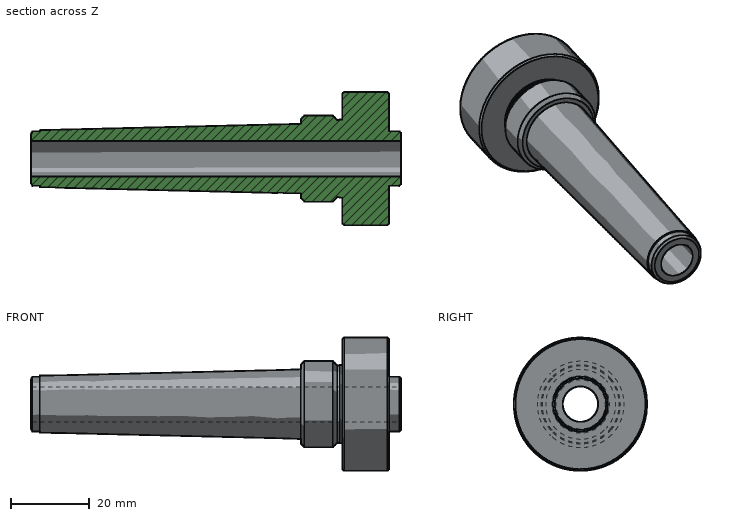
import cadquery as cq

total_length = 94.2
pilot_end = 2.3
collar_start = 68.65
collar_end = 78.0
neck_start = 78.5
flange_start = 79.2
flange_end = 91.2

pilot_diameter = 14.0
taper_small_diameter = 14.6
taper_large_diameter = 17.8
collar_diameter = 22.0
groove_diameter = 19.6
neck_diameter = 20.0
flange_diameter = 34.0
bore_diameter = 8.9

pilot_chamfer_length = 0.4
pilot_chamfer_depth = 0.8
collar_chamfer = 0.9
flange_chamfer = 0.5
stub_chamfer = 0.5

pilot_radius = pilot_diameter / 2
taper_small_radius = taper_small_diameter / 2
taper_large_radius = taper_large_diameter / 2
collar_radius = collar_diameter / 2
groove_radius = groove_diameter / 2
neck_radius = neck_diameter / 2
flange_radius = flange_diameter / 2
bore_radius = bore_diameter / 2

rear_bevel = collar_radius - groove_radius

half_section = [
    (0, bore_radius),
    (0, pilot_radius - pilot_chamfer_depth),
    (pilot_chamfer_length, pilot_radius),
    (pilot_end, pilot_radius),
    (pilot_end, taper_small_radius),
    (collar_start, taper_large_radius),
    (collar_start, collar_radius - collar_chamfer),
    (collar_start + collar_chamfer, collar_radius),
    (collar_end - rear_bevel, collar_radius),
    (collar_end, groove_radius),
    (neck_start, neck_radius),
    (flange_start, neck_radius),
    (flange_start, flange_radius - flange_chamfer),
    (flange_start + flange_chamfer, flange_radius),
    (flange_end - flange_chamfer, flange_radius),
    (flange_end, flange_radius - flange_chamfer),
    (flange_end, pilot_radius),
    (total_length - stub_chamfer, pilot_radius),
    (total_length, pilot_radius - stub_chamfer),
    (total_length, bore_radius),
]

result = cq.Workplane("XY").polyline(half_section).close().revolve(360, (0, 0, 0), (1, 0, 0))